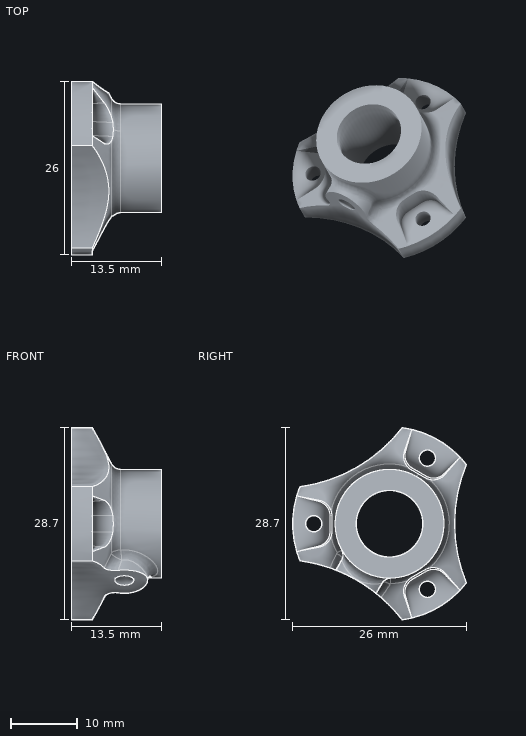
import cadquery as cq
import math

total_length = 13.49
flange_thickness = 3.13
flange_radius = 14.49
hub_diameter = 16.27
bore_diameter = 9.92
cone_angle = 27.5
blend_radius = 1.5

lobe_count = 3
lobe_pitch = 360 / lobe_count
lobe_half_angle = 22.5
scallop_depth_radius = 9.75
rough_scallop_radius = scallop_depth_radius + 1

bolt_hole_diameter = 2.38
bolt_circle_radius = 11.32
pocket_wall_radius = 8.9
pocket_wall_half_width = 1.2
pocket_corner_radius = 2.2
pocket_side_flare = 14
pocket_height = 4
pocket_draft = 5.5

boss_angle = 60
boss_diameter = 7.0
boss_hole_diameter = 2.85
boss_x = 7.9

hub_radius = hub_diameter / 2
beyond_flange = flange_radius + 1
selection_margin = 0.1


def turn(shape, angle):
    """Rotate a shape about the X axis; positive angles carry -Y toward -Z."""
    return shape.rotate((0, 0, 0), (1, 0, 0), angle)


def radial_cylinder(diameter, length):
    """Cylinder from the X axis out toward -Y at the boss position."""
    plane = cq.Plane(origin=(boss_x, 0, 0), xDir=(1, 0, 0), normal=(0, -1, 0))
    return cq.Workplane(plane).circle(diameter / 2).extrude(length)


def turned_body():
    """Flange rim, cone and hub in one revolution."""
    cone_rise = (flange_radius - hub_radius) * math.tan(math.radians(cone_angle))
    return (
        cq.Workplane("XY")
        .moveTo(0, 0)
        .lineTo(0, flange_radius)
        .lineTo(flange_thickness, flange_radius)
        .lineTo(flange_thickness + cone_rise, hub_radius)
        .lineTo(total_length, hub_radius)
        .lineTo(total_length, 0)
        .close()
        .revolve(360, (0, 0, 0), (1, 0, 0))
    )


def scallop(depth_radius):
    """Large cylinder cutting between two lobes, centred on the -Y side."""
    corner_angle = math.radians(lobe_pitch / 2 - lobe_half_angle)
    corner_reach = flange_radius * math.cos(corner_angle)
    half_chord = flange_radius * math.sin(corner_angle)
    sagitta = corner_reach - scallop_depth_radius
    radius = (half_chord**2 + sagitta**2) / (2 * sagitta)
    return (
        cq.Workplane("YZ")
        .center(-depth_radius - radius, 0)
        .circle(radius)
        .extrude(total_length)
    )


def blended_body():
    """Turned body with the boss toward -Y, filleted where hub, cone and boss meet.

    A shallow scallop first takes away the outer boss, where its wall and the cone
    close in too sharply for the fillet. The finished scallop is cut later.
    """
    boss = radial_cylinder(boss_diameter, beyond_flange)
    body = turned_body().union(boss).cut(scallop(rough_scallop_radius))
    blend_zone = cq.selectors.BoxSelector(
        (flange_thickness + selection_margin, -rough_scallop_radius, -flange_radius),
        (total_length - selection_margin, flange_radius, flange_radius),
    )
    straight_seams = cq.selectors.TypeSelector("LINE")
    return body.edges(blend_zone - straight_seams).fillet(blend_radius)


def bolt_hole():
    return (
        cq.Workplane("YZ")
        .center(-bolt_circle_radius, 0)
        .circle(bolt_hole_diameter / 2)
        .extrude(total_length)
    )


def pocket():
    """Bolt head clearance cut into the cone behind a lobe, open at the rim."""
    flare = math.radians(pocket_side_flare)
    middle = (math.pi / 2 - flare) / 2

    def corner_point(sweep):
        reach = pocket_wall_radius + pocket_corner_radius * (1 - math.cos(sweep))
        side = pocket_wall_half_width + pocket_corner_radius * math.sin(sweep)
        return reach, side

    mid_reach, mid_side = corner_point(middle)
    end_reach, end_side = corner_point(2 * middle)
    rim_side = end_side + (beyond_flange - end_reach) * math.tan(flare)
    return (
        cq.Workplane("YZ", origin=(flange_thickness, 0, 0))
        .moveTo(-pocket_wall_radius, -pocket_wall_half_width)
        .lineTo(-pocket_wall_radius, pocket_wall_half_width)
        .threePointArc((-mid_reach, mid_side), (-end_reach, end_side))
        .lineTo(-beyond_flange, rim_side)
        .lineTo(-beyond_flange, -rim_side)
        .lineTo(-end_reach, -end_side)
        .threePointArc((-mid_reach, -mid_side), (-pocket_wall_radius, -pocket_wall_half_width))
        .close()
        .extrude(pocket_height, taper=-pocket_draft)
    )


result = turn(blended_body(), boss_angle)
for index in range(lobe_count):
    lobe_angle = index * lobe_pitch
    result = result.cut(turn(scallop(scallop_depth_radius), lobe_angle + lobe_pitch / 2))
    result = result.cut(turn(bolt_hole(), lobe_angle))
    result = result.cut(turn(pocket(), lobe_angle))

result = result.cut(cq.Workplane("YZ").circle(bore_diameter / 2).extrude(total_length))
result = result.cut(turn(radial_cylinder(boss_hole_diameter, beyond_flange), boss_angle))